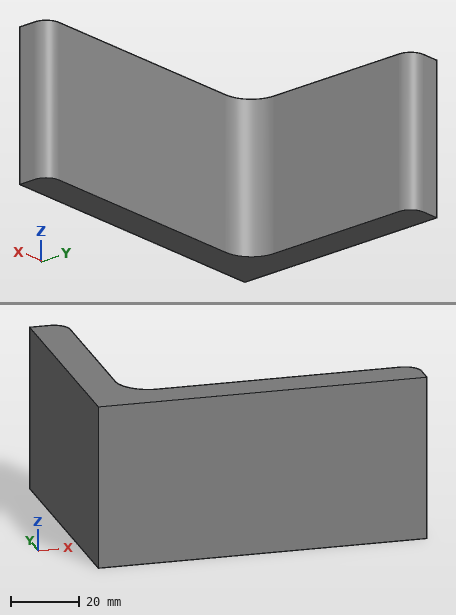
import cadquery as cq

long_leg = 100.0
short_leg = 75.0
height = 50.0
thickness = 11.0
root_radius = 10.0
toe_radius = 5.0

angle = (
    cq.Workplane("XY")
    .moveTo(0, 0)
    .lineTo(long_leg, 0)
    .lineTo(long_leg, thickness)
    .lineTo(thickness, thickness)
    .lineTo(thickness, short_leg)
    .lineTo(0, short_leg)
    .close()
    .extrude(height)
)


def round_upright_edge(body, x, y, radius):
    """Round the vertical edge that stands at (x, y)."""
    edge_middle = (x, y, height / 2)
    return body.edges(cq.selectors.NearestToPointSelector(edge_middle)).fillet(radius)


angle = round_upright_edge(angle, thickness, thickness, root_radius)
angle = round_upright_edge(angle, long_leg, thickness, toe_radius)
angle = round_upright_edge(angle, thickness, short_leg, toe_radius)

result = angle